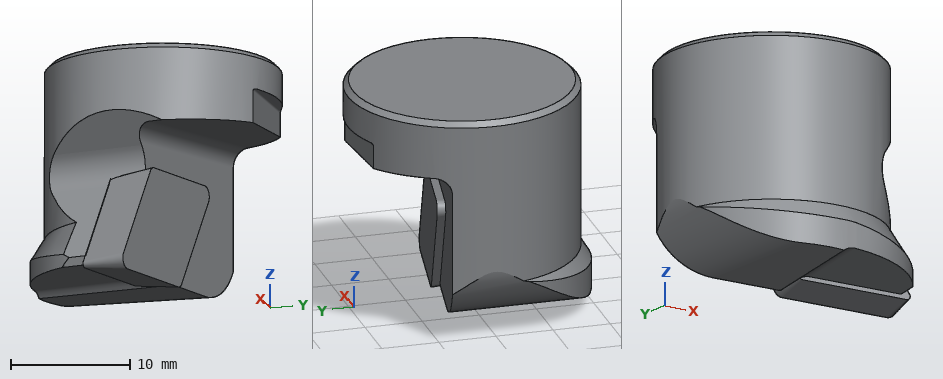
import cadquery as cq
import math


shank_radius = 10.005
shank_chamfer = 0.45
shank_bottom_z = -14.85
flare_half_angle = 31.5
head_front_y = -10.93
head_left_radius = 9.8
head_right_radius = 11.44
head_right_center_x = 0.91
blank_depth = 22.87

corner_radius = 6.3
corner_overhang = 0.1
floor_tilt = 3.0
floor_center_z = -19.05

insert_yaw = 11.0
insert_side = 11.65
insert_angle = 55.0
insert_thickness = 3.98
insert_nose_radius = 0.8
insert_relief = 7.0
nose_across = 11.82
nose_z = -19.2
rake_offset = 2.45

flute_radius = 2.63
flute_wall_clearance = 0.57
flute_upper_angle = 48.0
flute_bottom_across = 6.88
tip_relief_top_z = -18.4
tip_relief_angle = 66.0

pocket_offset = 1.72
pocket_roof_z = -5.95
pocket_roof_tilt = 5.0
pocket_fillet = 1.49
rear_flat_y = 9.0
rear_flat_top_z = -3.18
rear_flat_fillet = 0.23

relief_start_across = 1.6
relief_height = 0.53
relief_radius = 1.83

reach = 34.3

yaw = math.radians(insert_yaw)
across = cq.Vector(math.cos(yaw), -math.sin(yaw), 0)
backward = cq.Vector(math.sin(yaw), math.cos(yaw), 0)
forward = backward * -1


def insert_plane(offset):
    """Plane parallel to the rake face: local X is across, local Y is up."""
    return cq.Plane(origin=backward * offset, xDir=across, normal=forward)


def moved(point, angle, distance):
    """Point reached from another by a distance at an angle in degrees."""
    turn = math.radians(angle)
    return (point[0] + distance * math.cos(turn), point[1] + distance * math.sin(turn))


bottom_edge_angle = 180.0 - floor_tilt
side_edge_angle = bottom_edge_angle - insert_angle
bisector_angle = (bottom_edge_angle + side_edge_angle) / 2
tip_lead = insert_nose_radius / math.sin(math.radians(insert_angle / 2))
sharp_tip = moved((nose_across, nose_z), bisector_angle, -tip_lead)


def make_insert():
    low_corner = moved(sharp_tip, bottom_edge_angle, insert_side)
    high_corner = moved(sharp_tip, side_edge_angle, insert_side)
    far_corner = moved(low_corner, side_edge_angle, insert_side)
    outline = (
        cq.Sketch()
        .polygon([sharp_tip, low_corner, far_corner, high_corner, sharp_tip])
        .vertices()
        .fillet(insert_nose_radius)
    )
    plate = cq.Workplane(insert_plane(rake_offset)).placeSketch(outline)
    return plate.extrude(insert_thickness, taper=insert_relief)


def floor_z(x):
    return floor_center_z - x * math.tan(math.radians(floor_tilt))


def head_outline():
    """Two arcs of different radius that share a tangent at the front."""
    left_center_y = head_front_y + head_left_radius
    right_center_y = head_front_y + head_right_radius
    left_middle = moved((0, left_center_y), 225, head_left_radius)
    right_middle = moved((head_right_center_x, right_center_y), -45, head_right_radius)
    return (
        cq.Workplane("XY")
        .moveTo(-head_left_radius, left_center_y)
        .threePointArc(left_middle, (0, head_front_y))
        .lineTo(head_right_center_x, head_front_y)
        .threePointArc(right_middle, (head_right_center_x + head_right_radius, right_center_y))
        .close()
    )


def make_blank():
    """Shank with a coaxial flare, trimmed to the head outline."""
    shank = cq.Workplane("XY").circle(shank_radius).extrude(-blank_depth)
    shank = shank.faces(">Z").chamfer(shank_chamfer)
    flare_height = blank_depth + shank_bottom_z
    flare = (
        cq.Workplane("XY", origin=(0, 0, shank_bottom_z))
        .circle(shank_radius)
        .extrude(-flare_height, taper=-flare_half_angle)
    )
    trim = head_outline().extrude(-blank_depth)
    return shank.union(flare.intersect(trim))


def underside_envelope():
    """Side profile along Y, with a sloping floor and one rounded lower corner."""
    left = -shank_radius - corner_overhang
    profile = (
        cq.Workplane("XZ")
        .moveTo(left, 0)
        .lineTo(left, floor_z(left))
        .lineTo(reach, floor_z(reach))
        .lineTo(reach, 0)
        .close()
        .extrude(reach, both=True)
    )
    lower_left = cq.selectors.NearestToPointSelector((left, 0, floor_z(left)))
    return profile.edges("|Y").edges(lower_left).fillet(corner_radius)


def chip_flute():
    """V-shaped flute with a round bottom, square to the rake face."""
    wall_base = moved(sharp_tip, side_edge_angle + 90, flute_wall_clearance)
    wall_run = math.tan(math.radians(180 - side_edge_angle))

    def wall_across(z):
        return wall_base[0] - (z - wall_base[1]) / wall_run

    center_across = flute_bottom_across + flute_radius
    wall_normal = side_edge_angle - 90
    wall_shift = flute_radius / math.cos(math.radians(wall_normal))
    center_z = wall_base[1] + (wall_base[0] + wall_shift - center_across) * wall_run
    center = (center_across, center_z)
    lower_tangent = moved(center, wall_normal + 180, flute_radius)
    upper_tangent = moved(center, flute_upper_angle + 90, flute_radius)
    upper_end = moved(upper_tangent, flute_upper_angle, reach / 4)
    relief_top = (wall_across(tip_relief_top_z), tip_relief_top_z)
    relief_bottom = moved(relief_top, tip_relief_angle + 180, reach / 10)
    return (
        cq.Workplane(insert_plane(0))
        .moveTo(*upper_end)
        .lineTo(*upper_tangent)
        .threePointArc((flute_bottom_across, center_z), lower_tangent)
        .lineTo(*relief_top)
        .lineTo(*relief_bottom)
        .lineTo(reach, relief_bottom[1])
        .lineTo(reach, upper_end[1])
        .close()
        .extrude(reach, both=True)
    )


def rear_pocket():
    """Open pocket behind a face parallel to the rake, under a tilted roof."""
    tilt = math.radians(pocket_roof_tilt)
    run = across * math.cos(tilt) - cq.Vector(0, 0, math.sin(tilt))
    corner = backward * pocket_offset + cq.Vector(0, 0, pocket_roof_z)
    plane = cq.Plane(origin=corner, xDir=backward, normal=run)
    pocket = cq.Workplane(plane).rect(reach, -reach, centered=False).extrude(reach, both=True)
    inner_edge = cq.selectors.NearestToPointSelector(corner.toTuple())
    return pocket.edges(inner_edge).fillet(pocket_fillet)


def rear_flat():
    return (
        cq.Workplane("XY", origin=(0, rear_flat_y, rear_flat_top_z))
        .rect(reach, reach / 2)
        .extrude(-reach)
        .translate((0, reach / 4, 0))
        .edges("<Y and >Z")
        .fillet(rear_flat_fillet)
    )


def floor_relief():
    """Shallow step in the floor beside the insert, with a round run-out."""
    start = (relief_start_across, floor_z(relief_start_across))
    sweep = math.acos(1 - relief_height / relief_radius)
    roof_start_x = start[0] + relief_radius * math.sin(sweep)
    roof_start = (roof_start_x, floor_z(roof_start_x) + relief_height)
    half = sweep / 2
    arc_middle_x = roof_start_x - relief_radius * math.sin(half)
    arc_middle_drop = relief_radius * (1 - math.cos(half))
    arc_middle = (arc_middle_x, floor_z(arc_middle_x) + relief_height - arc_middle_drop)
    return (
        cq.Workplane(insert_plane(0))
        .moveTo(*start)
        .threePointArc(arc_middle, roof_start)
        .lineTo(reach, floor_z(reach) + relief_height)
        .lineTo(reach, floor_z(reach) - relief_radius)
        .lineTo(start[0], floor_z(reach) - relief_radius)
        .close()
        .extrude(reach, both=True)
    )


insert = make_insert()

holder = make_blank().intersect(underside_envelope())
for cutter in (chip_flute(), rear_pocket(), rear_flat(), floor_relief(), insert):
    holder = holder.cut(cutter)

result = cq.Compound.makeCompound([holder.val(), insert.val()])